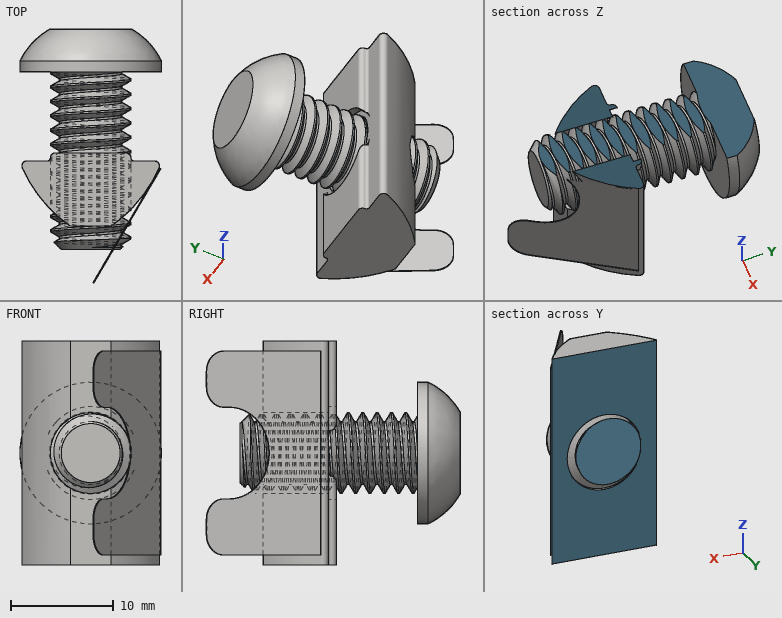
import cadquery as cq
import math


screw_length = 17.4
head_radius = 6.95
head_height = 4.2
head_rim_height = 1.07
head_top_radius = 4.04
dome_radius = 7.22
thread_radius = 3.95
thread_root_radius = 3.1
ten_turn_rise = 14.1
thread_pitch = ten_turn_rise / 10
thread_crest_width = thread_pitch / 8
thread_flank_angle = 30
first_crest_depth = 0.77
tip_radius = 2.9
blank_margin = 0.5

nut_length = 22.0
nut_top = -7.92
nut_height = 7.2
nut_shoulder_half_width = 7.0
nut_flank_radius = 13.7
nut_base_half_width = 2.0
nut_corner_radius = 0.5
neck_half_width = 3.95
neck_round_radius = 0.5
neck_root_radius = 0.3
neck_height = neck_round_radius + neck_root_radius
counterbore_radius = 4.55
nut_shoulder = nut_top - neck_height
nut_base = nut_top - nut_height

leaf_angle = 59.6
leaf_thickness = 0.1
leaf_width = 20.03
leaf_top = -9.45
leaf_tip = -20.7
leaf_corner_radius = 2.0
leaf_bite_radius = 4.48
leaf_bite_from_tip = 2.65


def helix_turn(radius, height):
    """One turn of the thread helix, starting on the +X side at the given height."""
    turn = cq.Wire.makeHelix(thread_pitch, thread_pitch, radius, center=cq.Vector(0, 0, height))
    return turn.Edges()[0]


def thread_profile():
    """Radius and height along one pitch: root flat, flank, crest flat, flank."""
    flank_height = (thread_radius - thread_root_radius) * math.tan(math.radians(thread_flank_angle))
    root_height = thread_pitch - thread_crest_width - 2 * flank_height
    return [
        (thread_root_radius, 0),
        (thread_root_radius, root_height),
        (thread_radius, root_height + flank_height),
        (thread_radius, root_height + flank_height + thread_crest_width),
        (thread_root_radius, thread_pitch),
    ]


def rod_end(height):
    """Faces that close the thread: a helicoid out to the root, and a flat step one pitch high."""
    axis_low = cq.Vector(0, 0, height)
    axis_high = cq.Vector(0, 0, height + thread_pitch)
    axis = cq.Edge.makeLine(axis_low, axis_high)
    helicoid = cq.Face.makeRuledSurface(axis, helix_turn(thread_root_radius, height))
    section = [cq.Vector(radius, 0, height + rise) for radius, rise in thread_profile()]
    outline = cq.Wire.makePolygon([axis_low, *section, axis_high], close=True)
    return [helicoid, cq.Face.makeFromWires(outline)]


def threaded_rod():
    """Right-hand threaded rod on the Y axis that runs past both ends of the shank."""
    profile = thread_profile()
    turns_above_head = 2
    turns = math.ceil(screw_length / thread_pitch) + turns_above_head + 1
    faces = rod_end(0) + rod_end(turns * thread_pitch)
    for turn in range(turns):
        start = turn * thread_pitch
        for (lower_radius, lower_rise), (upper_radius, upper_rise) in zip(profile, profile[1:]):
            lower = helix_turn(lower_radius, start + lower_rise)
            upper = helix_turn(upper_radius, start + upper_rise)
            faces.append(cq.Face.makeRuledSurface(lower, upper))
    rod = cq.Solid.makeSolid(cq.Shell.makeShell(faces))
    rod = rod.rotate(cq.Vector(0, 0, 0), cq.Vector(1, 0, 0), -90)

    crest_rise = (profile[2][1] + profile[3][1]) / 2
    bottom = -first_crest_depth - crest_rise - (turns - 1 - turns_above_head) * thread_pitch
    return cq.Workplane(rod.translate(cq.Vector(0, bottom, 0)))


def make_screw():
    head = (
        cq.Workplane("XY")
        .lineTo(head_radius, 0)
        .lineTo(head_radius, head_rim_height)
        .radiusArc((head_top_radius, head_height), -dome_radius)
        .lineTo(0, head_height)
        .close()
        .revolve(360, (0, 0, 0), (0, 1, 0))
    )
    blank_radius = thread_radius + blank_margin
    blank = (
        cq.Workplane("XY")
        .lineTo(blank_radius, 0)
        .lineTo(blank_radius, blank_radius - tip_radius - screw_length)
        .lineTo(tip_radius, -screw_length)
        .lineTo(0, -screw_length)
        .close()
        .revolve(360, (0, 0, 0), (0, 1, 0))
    )
    return head.union(blank.intersect(threaded_rod()))


def y_cylinder(radius, top, height):
    """Cylinder on the screw axis, reaching down from the given Y."""
    return cq.Workplane("XZ", origin=(0, top, 0)).circle(radius).extrude(height)


def make_nut():
    neck_wall_end = nut_top - neck_round_radius
    half_profile = (
        cq.Workplane("XY", origin=(0, 0, -nut_length / 2))
        .moveTo(0, nut_top)
        .lineTo(neck_half_width - neck_round_radius, nut_top)
        .radiusArc((neck_half_width, neck_wall_end), neck_round_radius)
        .radiusArc((neck_half_width + neck_root_radius, nut_shoulder), -neck_root_radius)
        .lineTo(nut_shoulder_half_width, nut_shoulder)
        .radiusArc((nut_base_half_width, nut_base), nut_flank_radius)
        .lineTo(0, nut_base)
        .close()
    )
    half = half_profile.extrude(nut_length)
    half = half.edges("|Z").edges(">X").fillet(nut_corner_radius)
    body = half.union(half.mirror("YZ"))
    counterbore = y_cylinder(counterbore_radius, nut_top, neck_height)
    hole = y_cylinder(thread_radius, nut_top, nut_height)
    return body.cut(counterbore).cut(hole)


def flank_contact():
    """Point where a plane at the leaf angle touches the +X flank of the nut."""
    run = nut_shoulder_half_width - nut_base_half_width
    rise = nut_shoulder - nut_base
    chord = math.hypot(run, rise)
    reach = math.sqrt(nut_flank_radius**2 - (chord / 2) ** 2)
    centre_x = nut_base_half_width + run / 2 - reach * rise / chord
    centre_y = nut_base + rise / 2 + reach * run / chord
    angle = math.radians(leaf_angle)
    return (
        centre_x + nut_flank_radius * math.sin(angle),
        centre_y - nut_flank_radius * math.cos(angle),
    )


def make_leaf():
    angle = math.radians(leaf_angle)
    contact_x, contact_y = flank_contact()
    tip_y = leaf_tip + leaf_thickness * math.cos(angle)
    tip_x = contact_x + (tip_y - contact_y) / math.tan(angle)
    length = (leaf_top - tip_y) / math.sin(angle)
    plane = cq.Plane(
        origin=(tip_x, tip_y, 0),
        xDir=(math.cos(angle), math.sin(angle), 0),
        normal=(math.sin(angle), -math.cos(angle), 0),
    )
    sheet = (
        cq.Workplane(plane)
        .center(length / 2, 0)
        .rect(length, leaf_width)
        .extrude(leaf_thickness)
    )
    bite_length = leaf_bite_from_tip + leaf_bite_radius
    bite = (
        cq.Workplane(plane)
        .moveTo(0, -leaf_bite_radius)
        .lineTo(leaf_bite_from_tip, -leaf_bite_radius)
        .threePointArc((bite_length, 0), (leaf_bite_from_tip, leaf_bite_radius))
        .lineTo(0, leaf_bite_radius)
        .close()
        .extrude(leaf_thickness)
    )
    leaf = sheet.cut(bite)
    tip_corners = leaf.faces("<Y").edges(cq.selectors.ParallelDirSelector(plane.zDir))
    return tip_corners.fillet(leaf_corner_radius)


screw = make_screw()
nut = make_nut()
leaf = make_leaf()

bodies = [body.solids().val() for body in (screw, nut, leaf)]
result = cq.Compound.makeCompound(bodies)